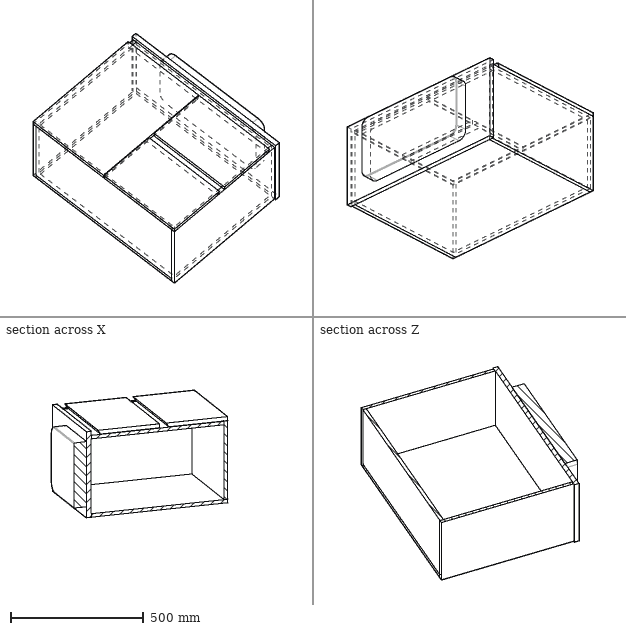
import cadquery as cq


board = 16.0
total_depth = 341.0
carcass_width = 738.0
carcass_height = 550.0
carcass_depth = total_depth - board
inner_width = carcass_width - 2 * board

top_width = 750.0
top_thickness = 20.0

basin_width = 500.0
basin_depth = 260.0
basin_height = 50.0
basin_back = 43.0
basin_offset = 1.9
basin_corner_radius = 35.0
basin_draft = 1.0
basin_rim_radius = 3.0

finger_gap = 28.0
front_gap = 2.0
bevel_run = 10.0
front_width = (carcass_width - front_gap) / 2
door_height = carcass_height - finger_gap
drawer_height = (door_height - finger_gap) / 2


def box(width, height, depth, x=0.0, y=0.0, z=0.0):
    """Box centred on x, rising from y and z."""
    return cq.Workplane("XY").box(width, height, depth, centered=(True, False, False)).translate((x, y, z))


def side_panel(side):
    return box(board, carcass_height, carcass_depth, x=side * (carcass_width - board) / 2)


def back_panel():
    return box(inner_width, carcass_height, board)


def bottom_panel():
    return box(inner_width, board, carcass_depth - board, z=board)


def face_panel():
    """Panel behind the door and drawers, seen through the finger gaps."""
    return box(inner_width, carcass_height - board, board, y=board, z=carcass_depth - board)


def front(height, side, bottom):
    """Front whose upper edge is bevelled to form a finger pull; side is -1 for left, 1 for right."""
    profile = [(0, 0), (height - bevel_run, 0), (height, board), (0, board)]
    x_start = -carcass_width / 2 if side < 0 else front_gap / 2
    blank = cq.Workplane("YZ").polyline(profile).close().extrude(front_width)
    return blank.translate((x_start, bottom, carcass_depth))


def countertop():
    """Slab flush with the faces of the fronts, overhanging both sides."""
    return box(top_width, top_thickness, total_depth, y=carcass_height)


def basin():
    """Rounded rectangular block, narrowing slightly towards a rounded rim."""
    top_of_counter = carcass_height + top_thickness
    middle = basin_back + basin_depth / 2
    return (
        cq.Workplane("XZ", origin=(basin_offset, top_of_counter, middle))
        .sketch().rect(basin_width, basin_depth).vertices().fillet(basin_corner_radius).finalize()
        .extrude(-basin_height, taper=basin_draft)
        .faces(">Y").edges().fillet(basin_rim_radius)
    )


sides = [side_panel(side) for side in (-1, 1)]
door = front(door_height, -1, 0)
drawers = [front(drawer_height, 1, level * (drawer_height + finger_gap)) for level in (0, 1)]

bodies = [*sides, back_panel(), bottom_panel(), face_panel(), door, *drawers, countertop(), basin()]
result = cq.Compound.makeCompound([body.val() for body in bodies])